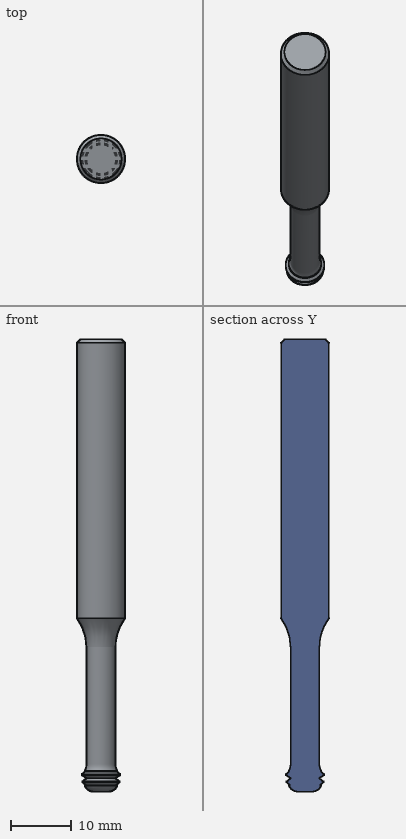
import cadquery as cq
import math

total_length = 75.0

shank_radius = 8.0 / 2
shank_bottom = 28.7
top_chamfer = 0.6

neck_radius = 2.44
neck_top = 24.0
neck_bottom = 4.5

collar_radius = 2.7
collar_top = 3.5
collar_bottom = 3.3
upper_tooth_radius = 3.2
upper_tooth_top = 2.9
upper_tooth_bottom = 2.8
upper_groove = (2.4, 2.25)
middle_tooth_radius = 3.1
middle_tooth_top = 1.7
middle_tooth_bottom = 1.6
lower_groove = (2.55, 1.1)
lower_tooth = (2.7, 1.0)

tip_flat_radius = 1.35
tip_bulge = 0.2


def flare_middle(height, end_radius):
    """Halfway-angle point of an arc tangent to the neck: (radial offset, height offset)."""
    rise = end_radius - neck_radius
    arc_radius = (height**2 + rise**2) / (2 * rise)
    half_angle = math.asin(height / arc_radius) / 2
    return arc_radius * (1 - math.cos(half_angle)), arc_radius * math.sin(half_angle)


def tip_middle():
    """Middle of the tip arc, pushed outward from its chord by the bulge."""
    run = lower_tooth[0] - tip_flat_radius
    drop = lower_tooth[1]
    chord = math.hypot(run, drop)
    radius = (lower_tooth[0] + tip_flat_radius) / 2 + tip_bulge * drop / chord
    height = drop / 2 - tip_bulge * run / chord
    return radius, height


shank_offset, shank_rise = flare_middle(shank_bottom - neck_top, shank_radius)
collar_offset, collar_drop = flare_middle(neck_bottom - collar_top, collar_radius)

profile = (
    cq.Workplane("XZ")
    .moveTo(0, total_length)
    .lineTo(shank_radius - top_chamfer, total_length)
    .lineTo(shank_radius, total_length - top_chamfer)
    .lineTo(shank_radius, shank_bottom)
    .threePointArc((neck_radius + shank_offset, neck_top + shank_rise), (neck_radius, neck_top))
    .lineTo(neck_radius, neck_bottom)
    .threePointArc(
        (neck_radius + collar_offset, neck_bottom - collar_drop),
        (collar_radius, collar_top),
    )
    .lineTo(collar_radius, collar_bottom)
    .lineTo(upper_tooth_radius, upper_tooth_top)
    .lineTo(upper_tooth_radius, upper_tooth_bottom)
    .lineTo(*upper_groove)
    .lineTo(middle_tooth_radius, middle_tooth_top)
    .lineTo(middle_tooth_radius, middle_tooth_bottom)
    .lineTo(*lower_groove)
    .lineTo(*lower_tooth)
    .threePointArc(tip_middle(), (tip_flat_radius, 0))
    .lineTo(0, 0)
    .close()
)

result = profile.revolve(360, (0, 0, 0), (0, 1, 0))